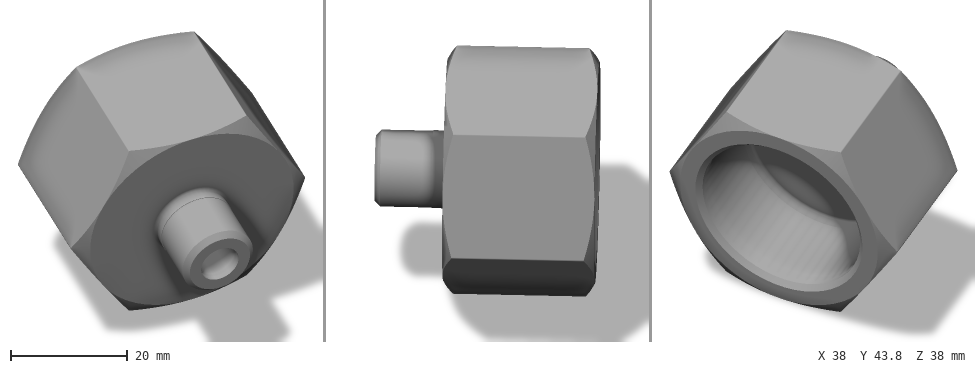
import cadquery as cq
import math

across_flats = 38.0
corner_width = 43.8
body_length = 26.0
end_chamfer_angle = 30.0

total_length = 38.0
spigot_diameter = 13.18
collar_diameter = 13.35
collar_length = 2.2
root_fillet = 0.5
spigot_chamfer = 0.95

bore_diameter = 30.3
relief_diameter = 30.45
socket_depth = 18.2
relief_length = 2.0
floor_fillet = 0.5
mouth_chamfer = 0.9

hole_diameter = 7.0
hole_chamfer = 0.5


def cylinder(diameter, start, length):
    """Solid cylinder about the X axis, starting at X = start."""
    return cq.Workplane("YZ", origin=(start, 0, 0)).circle(diameter / 2).extrude(length)


def countersink(diameter, start, size):
    """Cutter for a 45 degree chamfer around a hole entered at X = start."""
    cone = cq.Solid.makeCone(
        diameter / 2 + size, diameter / 2, size, cq.Vector(start, 0, 0), cq.Vector(1, 0, 0)
    )
    return cq.Workplane(obj=cone)


def hex_body():
    """Hexagonal prism with rounded corners and turned conical ends."""
    across_corners = across_flats / math.cos(math.radians(30))
    corner_drop = (across_corners - corner_width) / 2
    corner_fillet = corner_drop / (1 / math.cos(math.radians(30)) - 1)
    prism = cq.Workplane("YZ").polygon(6, across_corners).extrude(body_length)
    prism = prism.edges("|X").fillet(corner_fillet)

    cone_rise = (across_corners - across_flats) / 2
    cone_run = cone_rise * math.tan(math.radians(end_chamfer_angle))
    envelope = cylinder(across_corners, 0, body_length).edges().chamfer(cone_run, cone_rise)
    return prism.intersect(envelope)


def spigot():
    """Stepped spigot, chamfered at its free end."""
    shaft = cylinder(spigot_diameter, body_length, total_length - body_length)
    shaft = shaft.faces(">X").chamfer(spigot_chamfer)
    return shaft.union(cylinder(collar_diameter, body_length, collar_length))


def root_flare():
    """Ring that fillets the collar into the end face of the body."""
    collar_radius = collar_diameter / 2
    arc_mid_offset = root_fillet * (1 - math.sqrt(0.5))
    return (
        cq.Workplane("XY")
        .moveTo(body_length, 0)
        .lineTo(body_length, collar_radius + root_fillet)
        .threePointArc(
            (body_length + arc_mid_offset, collar_radius + arc_mid_offset),
            (body_length + root_fillet, collar_radius),
        )
        .lineTo(body_length + root_fillet, 0)
        .close()
        .revolve(360, (0, 0, 0), (1, 0, 0))
    )


def socket():
    """Cutter for the socket: flared mouth, bore and filleted relief."""
    bore = cylinder(bore_diameter, 0, socket_depth - relief_length)
    relief = cylinder(relief_diameter, socket_depth - relief_length, relief_length)
    relief = relief.faces(">X").edges().fillet(floor_fillet)
    return bore.union(relief).union(countersink(bore_diameter, 0, mouth_chamfer))


def through_hole():
    """Cutter for the axial hole, chamfered where it meets the socket floor."""
    hole = cylinder(hole_diameter, 0, total_length)
    return hole.union(countersink(hole_diameter, socket_depth, hole_chamfer))


result = hex_body().union(spigot()).union(root_flare())
result = result.cut(socket()).cut(through_hole())